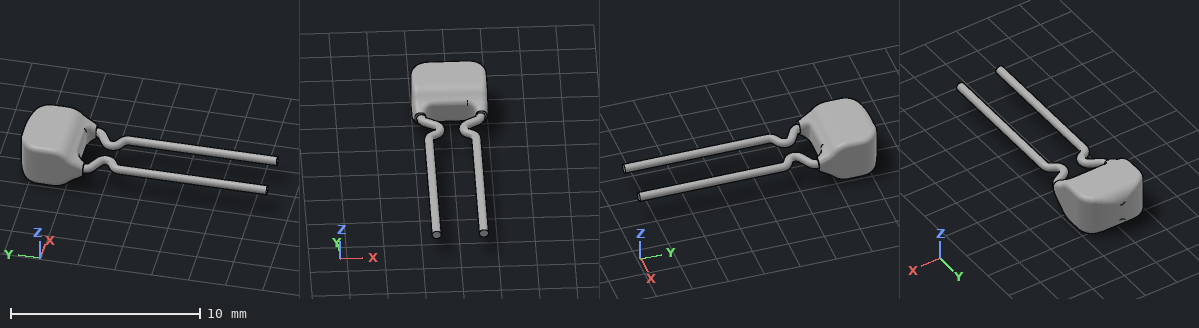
import cadquery as cq
import math


total_length = 13.5
body_width = 4.0
body_thickness = 2.5
body_length = 3.67
edge_radius = 0.3

crown_radius = 3.0
shoulder_radius = 1.0
foot_inset = 0.1
foot_width = 0.6
recess_depth = 0.42

back_radius = 0.78
bulge_start = 2.04
bulge_radius = 1.19
bulge_slope = math.radians(45)
flare_radius = 1.75
foot_slope = math.radians(30)

lead_diameter = 0.5
lead_root_x = 1.57
kink_x = 0.62
lead_pitch = 2.5
bend_radius = 0.4
bend_angle = math.radians(60)

half_width = body_width / 2
half_thickness = body_thickness / 2
foot_outer_x = half_width - foot_inset
foot_inner_x = foot_outer_x - foot_width
recess_floor_y = recess_depth - body_length
bulge_end_y = -bulge_start - bulge_radius * math.sin(bulge_slope)


def polar(center, radius, angle):
    """Point at an angle on a circle."""
    return center[0] + radius * math.cos(angle), center[1] + radius * math.sin(angle)


def mirrored(point):
    """Point on the other side of X = 0."""
    return -point[0], point[1]


def plan_block():
    """Plan with a domed back, round shoulders and sides that curve in toward the feet."""
    shoulder_x = half_width - shoulder_radius
    center_distance = crown_radius - shoulder_radius
    shoulder_angle = math.acos(shoulder_x / center_distance)
    shoulder = polar((0, -crown_radius), center_distance, shoulder_angle)
    shoulder_end = polar((0, -crown_radius), crown_radius, shoulder_angle)
    shoulder_middle = polar(shoulder, shoulder_radius, shoulder_angle / 2)

    taper_run = body_length + bulge_end_y
    taper_radius = (taper_run**2 + foot_inset**2) / (2 * foot_inset)
    taper_sweep = math.asin(taper_run / taper_radius)
    taper_middle = polar((half_width - taper_radius, bulge_end_y), taper_radius, -taper_sweep / 2)

    return (
        cq.Workplane("XY", origin=(0, 0, -half_thickness))
        .moveTo(foot_outer_x, -body_length)
        .threePointArc(taper_middle, (half_width, bulge_end_y))
        .lineTo(half_width, shoulder[1])
        .threePointArc(shoulder_middle, shoulder_end)
        .threePointArc((0, 0), mirrored(shoulder_end))
        .threePointArc(mirrored(shoulder_middle), (-half_width, shoulder[1]))
        .lineTo(-half_width, bulge_end_y)
        .threePointArc(mirrored(taper_middle), (-foot_outer_x, -body_length))
        .close()
        .extrude(body_thickness)
    )


def profile_block():
    """Side profile with a rounded back, flat faces, and bulges that flare down to the feet."""
    quarter_turn = math.pi / 2
    bulge_center = (-bulge_start, half_thickness - bulge_radius)
    bulge_middle = polar(bulge_center, bulge_radius, quarter_turn + bulge_slope / 2)
    bulge_end = polar(bulge_center, bulge_radius, quarter_turn + bulge_slope)

    flare_center = polar(bulge_end, flare_radius, quarter_turn + bulge_slope)
    flare_middle = polar(flare_center, flare_radius, (bulge_slope + foot_slope) / 2 - quarter_turn)
    flare_end = polar(flare_center, flare_radius, foot_slope - quarter_turn)
    foot_half_height = flare_end[1] - (body_length + flare_end[0]) * math.tan(foot_slope)

    upper_half = (
        cq.Workplane("YZ", origin=(-half_width, 0, 0))
        .lineTo(0, half_thickness - back_radius)
        .tangentArcPoint((-back_radius, half_thickness), relative=False)
        .lineTo(-bulge_start, half_thickness)
        .threePointArc(bulge_middle, bulge_end)
        .threePointArc(flare_middle, flare_end)
        .lineTo(-body_length, foot_half_height)
        .lineTo(-body_length, 0)
        .close()
        .extrude(body_width)
    )
    return upper_half.union(upper_half.mirror("XY"))


def recess_block():
    """Space between the feet, with quarter-round corners that end at the foot tips."""
    floor_end_x = foot_inner_x - recess_depth
    corner_middle = polar((floor_end_x, -body_length), recess_depth, math.pi / 4)
    return (
        cq.Workplane("XY", origin=(0, 0, -half_thickness))
        .moveTo(foot_inner_x, -body_length)
        .threePointArc(corner_middle, (floor_end_x, recess_floor_y))
        .lineTo(-floor_end_x, recess_floor_y)
        .threePointArc(mirrored(corner_middle), (-foot_inner_x, -body_length))
        .close()
        .extrude(body_thickness)
    )


def make_body():
    """Plan and profile intersected, recessed, and rounded along the rims of the walls."""
    block = plan_block().intersect(profile_block()).cut(recess_block())
    outer_and_corner_rims = block.edges("not(|X or |Z)")
    recess_floor = block.faces(cq.NearestToPointSelector((0, recess_floor_y, 0)))
    rounded = outer_and_corner_rims.add(recess_floor.edges("|X")).fillet(edge_radius)
    return rounded.solids()


def add_jog(path, start, end_x):
    """Swing the path sideways to end_x and back to the -Y direction; return it with its end."""
    way = math.copysign(1, end_x - start[0])
    bend_x = bend_radius * (1 - math.cos(bend_angle))
    bend_y = bend_radius * math.sin(bend_angle)
    half_bend_x = bend_radius * (1 - math.cos(bend_angle / 2))
    half_bend_y = bend_radius * math.sin(bend_angle / 2)
    slant_run = abs(end_x - start[0]) - 2 * bend_x
    slant_drop = slant_run / math.tan(bend_angle)

    slant_start = (start[0] + way * bend_x, start[1] - bend_y)
    slant_end = (end_x - way * bend_x, slant_start[1] - slant_drop)
    end = (end_x, slant_end[1] - bend_y)
    path = (
        path.threePointArc((start[0] + way * half_bend_x, start[1] - half_bend_y), slant_start)
        .lineTo(*slant_end)
        .threePointArc((end_x - way * half_bend_x, end[1] + half_bend_y), end)
    )
    return path, end


def make_lead(side):
    """Round wire from a foot tip, in to the kink, out to the pitch, then straight."""
    root = (side * lead_root_x, -body_length)
    path = cq.Workplane("XY").moveTo(*root)
    path, kink = add_jog(path, root, side * kink_x)
    path, straight_start = add_jog(path, kink, side * lead_pitch / 2)
    path = path.lineTo(straight_start[0], -total_length)
    return cq.Workplane("XZ", origin=(*root, 0)).circle(lead_diameter / 2).sweep(path)


body = make_body()
leads = [make_lead(side) for side in (-1, 1)]
result = cq.Compound.makeCompound([body.val(), *[lead.val() for lead in leads]])